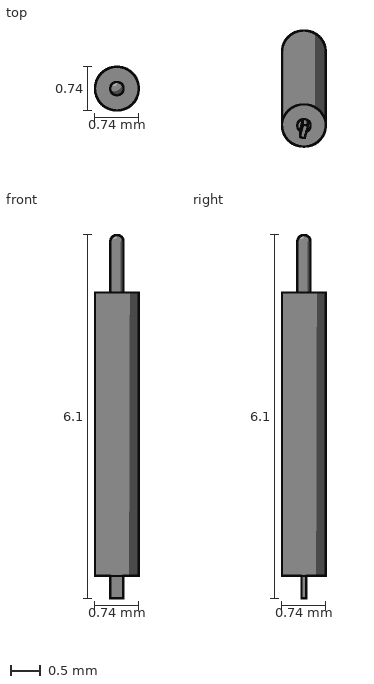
import cadquery as cq

total_length = 6.1
sleeve_diameter = 0.74
sleeve_length = 4.76
pin_diameter = 0.225
tail_length = 0.38
tail_thickness = 0.085

pin_radius = pin_diameter / 2
shank_length = total_length - pin_radius - tail_length


def make_sleeve():
    """Plain cylindrical sleeve with a through bore that fits the pin."""
    return (
        cq.Workplane("XY")
        .workplane(offset=tail_length)
        .circle(sleeve_diameter / 2)
        .circle(pin_radius)
        .extrude(sleeve_length)
    )


def make_tail():
    """Pin end flattened on its -Y and +Y sides, keeping its round -X and +X edges."""
    round_stock = cq.Workplane("XY").circle(pin_radius).extrude(tail_length)
    flat_slab = cq.Workplane("XY").box(
        pin_diameter, tail_thickness, tail_length, centered=(True, True, False)
    )
    return round_stock.intersect(flat_slab)


def make_pin():
    """Round shank through the sleeve, with a hemispherical tip and a flattened tail."""
    shank = (
        cq.Workplane("XY")
        .workplane(offset=tail_length)
        .circle(pin_radius)
        .extrude(shank_length)
        .faces(">Z")
        .workplane()
        .sphere(pin_radius)
    )
    return shank.union(make_tail())


sleeve = make_sleeve()
pin = make_pin()

result = cq.Compound.makeCompound([sleeve.val(), pin.solids().val()])